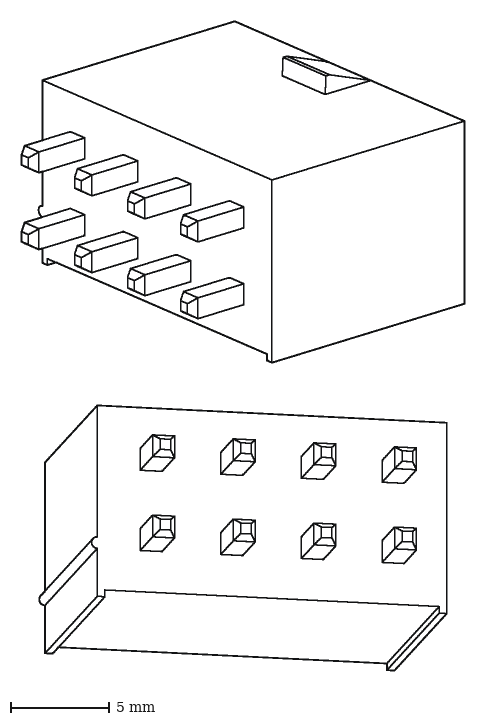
import cadquery as cq

housing_width = 18.2
housing_depth = 12.8
housing_height = 10.0

foot_width = 0.4
foot_height = 0.35

rib_radius = 0.3
rib_center_z = 2.81

latch_width = 3.4
latch_length = 3.05
latch_height = 1.0
latch_crest_length = 0.25
latch_front_lean = 0.05

pin_columns = 4
pin_rows = 2
pin_pitch = 4.2
pin_size = 1.14
pin_length = 3.5
pin_tip_length = 0.45
pin_tip_size = 0.55
lower_row_z = 3.08


def make_block():
    """Plain block with the relief cut along the whole underside."""
    block = cq.Workplane("XY").box(
        housing_width, housing_depth, housing_height, centered=(True, False, False)
    )
    relief = cq.Workplane("XY").box(
        housing_width - 2 * foot_width, housing_depth, foot_height, centered=(True, False, False)
    )
    return block.cut(relief)


def make_rib():
    """Round bar on the -X face; the half inside the block merges with it."""
    return (
        cq.Workplane("XZ")
        .center(-housing_width / 2, rib_center_z)
        .circle(rib_radius)
        .extrude(-housing_depth)
    )


def make_latch():
    """Wedge sloping up from the rear edge to a short flat crest with a nearly upright front."""
    front_y = housing_depth - latch_length
    crest_front_y = front_y + latch_front_lean
    crest_z = housing_height + latch_height
    return (
        cq.Workplane("YZ")
        .moveTo(housing_depth, housing_height)
        .lineTo(crest_front_y + latch_crest_length, crest_z)
        .lineTo(crest_front_y, crest_z)
        .lineTo(front_y, housing_height)
        .close()
        .extrude(latch_width / 2, both=True)
    )


def make_housing():
    return make_block().union(make_rib()).union(make_latch())


def make_pin(x, z):
    """Square pin pointing towards -Y, ending in a truncated pyramid."""
    shank_length = pin_length - pin_tip_length
    shank = cq.Workplane("XZ").center(x, z).rect(pin_size, pin_size).extrude(shank_length)
    tip = (
        cq.Workplane("XZ", origin=(0, -shank_length, 0))
        .center(x, z)
        .rect(pin_size, pin_size)
        .workplane(offset=pin_tip_length)
        .rect(pin_tip_size, pin_tip_size)
        .loft(ruled=True)
    )
    return shank.union(tip)


housing = make_housing()

first_column_x = -pin_pitch * (pin_columns - 1) / 2
pins = []
for row in range(pin_rows):
    for column in range(pin_columns):
        pin = make_pin(first_column_x + column * pin_pitch, lower_row_z + row * pin_pitch)
        pins.append(pin.val())

result = cq.Compound.makeCompound([housing.val(), *pins])